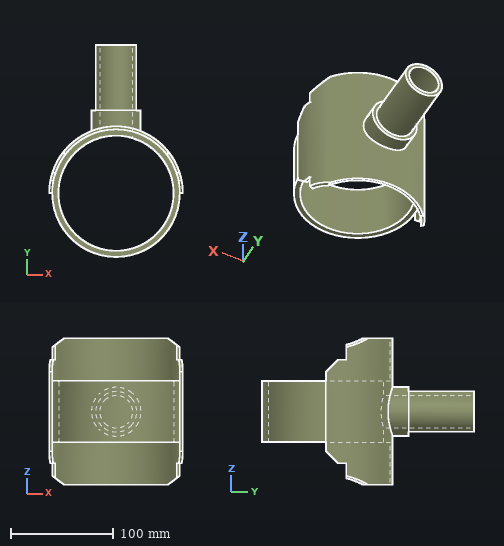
import cadquery as cq

ring_outer_radius = 62.6
ring_wall = 6.2
ring_height = 60.0
ring_inner_radius = ring_outer_radius - ring_wall

saddle_width = 131.2
saddle_outer_radius = saddle_width / 2
saddle_height = 144.0
saddle_half_height = saddle_height / 2
step_y = 20.0
ear_half_height = 51.0
ear_chamfer = 12.0
corner_top_half_width = 50.8
corner_half_width = 62.6
corner_drop = 9.0

pipe_end_y = 145.4
pipe_radius = 20.0
collar_end_y = 81.3
collar_radius = 24.1
bore_radius = 16.0


def cylinder_along_z(radius, height):
    """Cylinder centred on the origin."""
    return cq.Workplane("XY").workplane(offset=-height / 2).circle(radius).extrude(height)


def cylinder_along_y(radius, end_y):
    """Cylinder from the ring axis to end_y."""
    return cq.Workplane("XZ").circle(radius).extrude(-end_y)


def make_saddle():
    shell = cylinder_along_z(saddle_outer_radius, saddle_height)
    shell = shell.cut(cylinder_along_z(ring_outer_radius, saddle_height))
    side_outline = (
        cq.Workplane("YZ")
        .moveTo(saddle_outer_radius, -saddle_half_height)
        .lineTo(saddle_outer_radius, saddle_half_height)
        .lineTo(step_y, saddle_half_height)
        .lineTo(step_y, ear_half_height)
        .lineTo(ear_chamfer, ear_half_height)
        .lineTo(0, ear_half_height - ear_chamfer)
        .lineTo(0, -ear_half_height + ear_chamfer)
        .lineTo(ear_chamfer, -ear_half_height)
        .lineTo(step_y, -ear_half_height)
        .lineTo(step_y, -saddle_half_height)
        .close()
        .extrude(saddle_outer_radius, both=True)
    )
    saddle = shell.intersect(side_outline)
    cutter_half_width = 2 * corner_half_width - corner_top_half_width
    cutter_low_z = saddle_half_height - 2 * corner_drop
    for side in (-1, 1):
        for end in (-1, 1):
            corner = (
                cq.Workplane("XZ")
                .moveTo(side * corner_top_half_width, end * saddle_half_height)
                .lineTo(side * cutter_half_width, end * saddle_half_height)
                .lineTo(side * cutter_half_width, end * cutter_low_z)
                .close()
                .extrude(-saddle_outer_radius)
            )
            saddle = saddle.cut(corner)
    return saddle


ring = cylinder_along_z(ring_outer_radius, ring_height)
branch = cylinder_along_y(pipe_radius, pipe_end_y).union(cylinder_along_y(collar_radius, collar_end_y))
hollow = cylinder_along_z(ring_inner_radius, saddle_height)

result = (
    ring.union(branch)
    .cut(hollow)
    .union(make_saddle())
    .cut(cylinder_along_y(bore_radius, pipe_end_y))
)